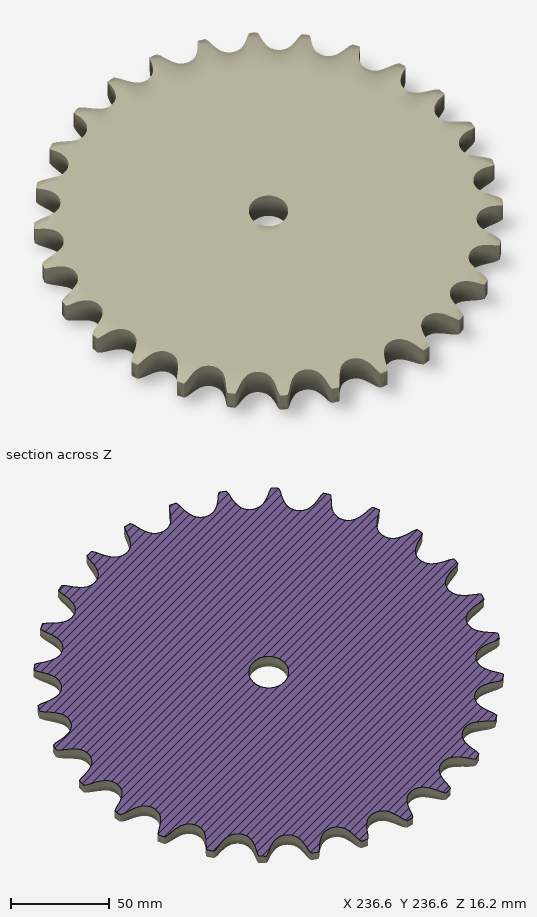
import cadquery as cq
import math

chain_pitch = 25.4
roller_diameter = 15.88

tooth_count = 28
tip_diameter = 237.7
plate_thickness = 16.2
bore_diameter = 20.0

seating_clearance = 0.0381
seating_radius = 0.5025 * roller_diameter + seating_clearance
working_offset = 0.8 * roller_diameter
topping_offset = 1.4 * roller_diameter
working_radius = seating_radius + working_offset
seat_end_angle = math.radians(35.0 + 60.0 / tooth_count)
working_sweep = math.radians(18.0 - 56.0 / tooth_count)
flank_angle = seat_end_angle - working_sweep

tip_clearance = 1.0

relief_radius = 26.0
relief_depth = 2.5

pitch_radius = chain_pitch / (2.0 * math.sin(math.pi / tooth_count))
tip_radius = tip_diameter / 2.0
half_thickness = plate_thickness / 2.0
tooth_angle = 360.0 / tooth_count


def make_blank():
    """Revolved disc whose rim curves inward from both flat sides."""
    relief_width = math.sqrt(relief_radius**2 - (relief_radius - relief_depth) ** 2)
    flat_radius = tip_radius - relief_width
    rim_height = half_thickness - relief_depth
    half_sweep = math.asin(relief_width / relief_radius) / 2.0
    mid_radius = flat_radius + relief_radius * math.sin(half_sweep)
    mid_height = half_thickness - relief_radius * (1.0 - math.cos(half_sweep))
    section = (
        cq.Workplane("XZ")
        .moveTo(0, -half_thickness)
        .lineTo(flat_radius, -half_thickness)
        .threePointArc((mid_radius, -mid_height), (tip_radius, -rim_height))
        .lineTo(tip_radius, rim_height)
        .threePointArc((mid_radius, mid_height), (flat_radius, half_thickness))
        .lineTo(0, half_thickness)
        .close()
    )
    return section.revolve(360, (0, 0, 0), (0, 1, 0))


def polar(center, radius, angle):
    """Point at the given radius and angle (radians, from +X) around a centre."""
    return (center[0] + radius * math.cos(angle), center[1] + radius * math.sin(angle))


def mirrored(point):
    return (-point[0], point[1])


def make_gap_cutter():
    """Tooth gap centred on +Y, symmetric about the Y axis."""
    seat_center = (0.0, pitch_radius)
    seat_bottom = (0.0, pitch_radius - seating_radius)
    seat_end = polar(seat_center, seating_radius, -seat_end_angle)

    working_center = polar(seat_center, working_offset, math.pi - seat_end_angle)
    working_mid = polar(working_center, working_radius, -(seat_end_angle + flank_angle) / 2.0)
    working_end = polar(working_center, working_radius, -flank_angle)

    topping_center = polar(seat_center, topping_offset, -math.pi / tooth_count)
    to_center_x = topping_center[0] - working_end[0]
    to_center_y = topping_center[1] - working_end[1]
    flank_length = to_center_x * math.sin(flank_angle) + to_center_y * math.cos(flank_angle)
    topping_radius = to_center_x * math.cos(flank_angle) - to_center_y * math.sin(flank_angle)
    flank_end = polar(working_end, flank_length, math.pi / 2.0 - flank_angle)

    clear_y = tip_radius + tip_clearance
    topping_start_angle = math.pi - flank_angle
    topping_end_angle = math.pi - math.asin((clear_y - topping_center[1]) / topping_radius)
    topping_mid = polar(topping_center, topping_radius, (topping_start_angle + topping_end_angle) / 2.0)
    topping_end = polar(topping_center, topping_radius, topping_end_angle)

    return (
        cq.Workplane("XY", origin=(0, 0, -half_thickness))
        .moveTo(*mirrored(topping_end))
        .threePointArc(mirrored(topping_mid), mirrored(flank_end))
        .lineTo(*mirrored(working_end))
        .threePointArc(mirrored(working_mid), mirrored(seat_end))
        .threePointArc(seat_bottom, seat_end)
        .threePointArc(working_mid, working_end)
        .lineTo(*flank_end)
        .threePointArc(topping_mid, topping_end)
        .close()
        .extrude(plate_thickness)
    )


def cut_tooth_gaps(blank):
    """Cut one gap per tooth around the rim."""
    gap = make_gap_cutter()
    for index in range(tooth_count):
        blank = blank.cut(gap.rotate((0, 0, 0), (0, 0, 1), index * tooth_angle))
    return blank


def cut_bore(plate):
    """Cut the plain round bore through the centre."""
    bore_base = cq.Workplane("XY", origin=(0, 0, -half_thickness))
    bore = bore_base.circle(bore_diameter / 2.0).extrude(plate_thickness)
    return plate.cut(bore)


result = cut_bore(cut_tooth_gaps(make_blank()))